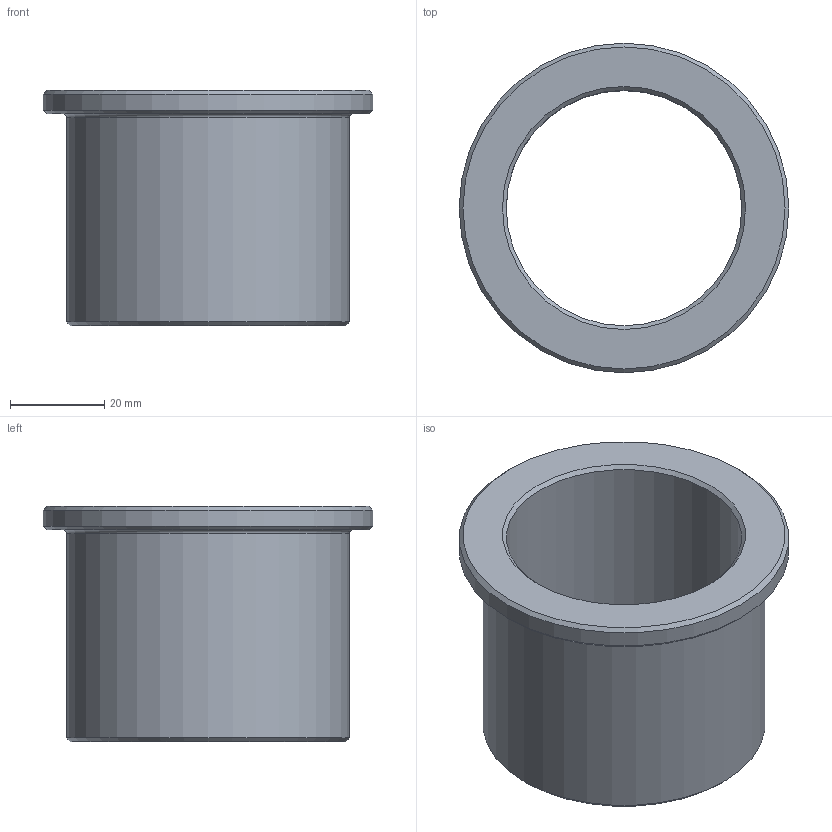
import cadquery as cq
import math

bore_diameter = 50.0
sleeve_diameter = 60.0
flange_diameter = 70.0
total_height = 50.0
flange_thickness = 5.0
edge_chamfer = 0.8
neck_fillet = 0.8

bore_radius = bore_diameter / 2
sleeve_radius = sleeve_diameter / 2
flange_radius = flange_diameter / 2
flange_underside = total_height - flange_thickness
fillet_midpoint_offset = neck_fillet * (1 - math.sqrt(0.5))


def bushing_profile():
    """Half section of the flanged bushing, with X as radius and Y as height."""
    return (
        cq.Workplane("XZ")
        .moveTo(bore_radius, 0)
        .lineTo(sleeve_radius - edge_chamfer, 0)
        .lineTo(sleeve_radius, edge_chamfer)
        .lineTo(sleeve_radius, flange_underside - neck_fillet)
        .threePointArc(
            (sleeve_radius + fillet_midpoint_offset, flange_underside - fillet_midpoint_offset),
            (sleeve_radius + neck_fillet, flange_underside),
        )
        .lineTo(flange_radius - edge_chamfer, flange_underside)
        .lineTo(flange_radius, flange_underside + edge_chamfer)
        .lineTo(flange_radius, total_height - edge_chamfer)
        .lineTo(flange_radius - edge_chamfer, total_height)
        .lineTo(bore_radius + edge_chamfer, total_height)
        .lineTo(bore_radius, total_height - edge_chamfer)
        .close()
    )


result = bushing_profile().revolve(360, (0, 0, 0), (0, 1, 0))